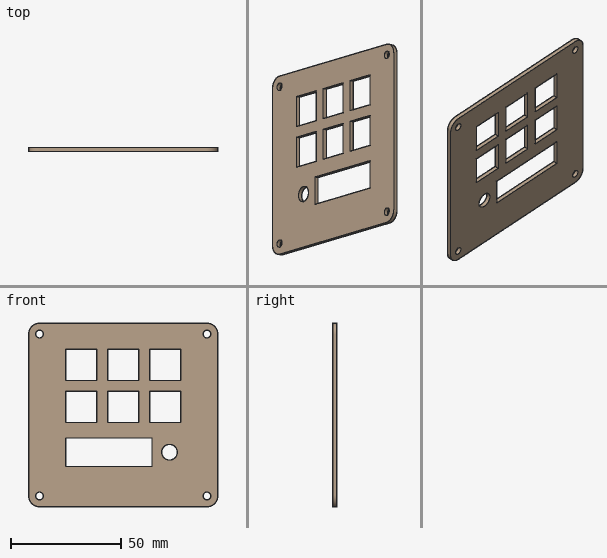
import cadquery as cq

PLATE_WIDTH = 86.04
PLATE_HEIGHT = 83.5
PLATE_THICKNESS = 2.0
CORNER_RADIUS = 5.1

MOUNT_HOLE_DIAMETER = 3.4
MOUNT_HOLE_INSET = 5.0

KEY_SIZE = 14.0
KEY_PITCH = 19.05
KEY_COLUMNS = 3
KEY_ROWS = 2
KEY_TOP_MARGIN = 12.0

DISPLAY_WIDTH = 39.0
DISPLAY_HEIGHT = 12.8
DISPLAY_CENTER_Z = -16.9

KNOB_HOLE_DIAMETER = 7.0
KNOB_HOLE_X = 21.0

first_key_x = -KEY_PITCH * (KEY_COLUMNS - 1) / 2
first_key_z = PLATE_HEIGHT / 2 - KEY_TOP_MARGIN - KEY_SIZE / 2
key_left_edge = first_key_x - KEY_SIZE / 2
display_center_x = key_left_edge + DISPLAY_WIDTH / 2


def make_plate():
    """Flat plate with rounded corners."""
    plate = cq.Workplane("XY").box(PLATE_WIDTH, PLATE_THICKNESS, PLATE_HEIGHT)
    return plate.edges("|Y").fillet(CORNER_RADIUS)


def through_window(width, height, x, z):
    """Rectangular cutter through the full plate thickness."""
    window = cq.Workplane("XY").box(width, PLATE_THICKNESS, height)
    return window.translate((x, 0, z))


def through_hole(diameter, x, z):
    """Round cutter through the full plate thickness."""
    hole = cq.Workplane("XZ").circle(diameter / 2).extrude(PLATE_THICKNESS / 2, both=True)
    return hole.translate((x, 0, z))


def cut_mount_holes(plate):
    hole_x = PLATE_WIDTH / 2 - MOUNT_HOLE_INSET
    hole_z = PLATE_HEIGHT / 2 - MOUNT_HOLE_INSET
    for side_x in (-1, 1):
        for side_z in (-1, 1):
            plate = plate.cut(through_hole(MOUNT_HOLE_DIAMETER, side_x * hole_x, side_z * hole_z))
    return plate


def cut_key_openings(plate):
    for row in range(KEY_ROWS):
        for column in range(KEY_COLUMNS):
            x = first_key_x + column * KEY_PITCH
            z = first_key_z - row * KEY_PITCH
            plate = plate.cut(through_window(KEY_SIZE, KEY_SIZE, x, z))
    return plate


def cut_display_window(plate):
    return plate.cut(through_window(DISPLAY_WIDTH, DISPLAY_HEIGHT, display_center_x, DISPLAY_CENTER_Z))


def cut_knob_hole(plate):
    return plate.cut(through_hole(KNOB_HOLE_DIAMETER, KNOB_HOLE_X, DISPLAY_CENTER_Z))


result = make_plate()
result = cut_mount_holes(result)
result = cut_key_openings(result)
result = cut_display_window(result)
result = cut_knob_hole(result)